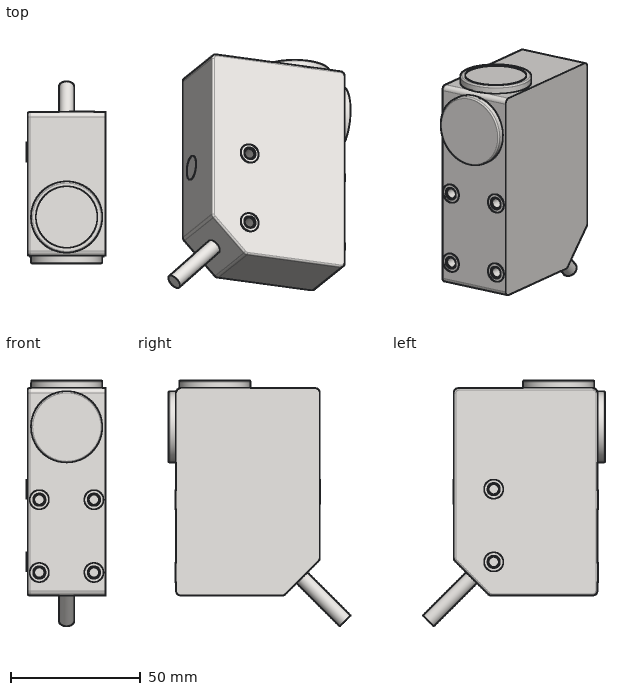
import cadquery as cq
import math

OVERALL_HEIGHT = 94.7

WIDTH = 30.0
DEPTH = 55.4
HEIGHT = 79.9
CABLE_CHAMFER = 13.8
CORNER_RADIUS = 1.9
LEFT_EDGE_RADIUS = 0.8
MIDDLE_X = WIDTH / 2

CAP_DIAMETER = 27.5
CAP_HEIGHT = 2.9
CAP_INSET = 15.0
CAP_EDGE_RADIUS = 0.6
WINDOW_DIAMETER = 23.7
WINDOW_DEPTH = 0.3

CABLE_DIAMETER = 6.0
CABLE_DROP = OVERALL_HEIGHT - HEIGHT - CAP_HEIGHT
CABLE_LENGTH = math.sqrt(2) * (CABLE_DROP + CABLE_CHAMFER / 2) - CABLE_DIAMETER / 2

PAD_DIAMETER = 9.4
PAD_HEIGHT = 0.2
PAD_X = 20.9
PAD_Z = HEIGHT / 2

INSERT_DIAMETER = 7.4
INSERT_BORE = 3.9
INSERT_CHAMFER = 0.5
INSERT_DEPTH = 7.0
INSERT_SPACING_Z = 28.0
FRONT_INSERT_PROUD = 0.3
FRONT_INSERT_SPACING_X = 21.0
FRONT_INSERT_LOW_Z = 8.9
LEFT_INSERT_PROUD = 0.5
LEFT_INSERT_Y = 40.0
LEFT_INSERT_LOW_Z = 13.0

TO_BACK = cq.Vector(0, 1, 0)
TO_RIGHT = cq.Vector(1, 0, 0)

insert_places = []
for level in (0, INSERT_SPACING_Z):
    for side in (-1, 1):
        x = MIDDLE_X + side * FRONT_INSERT_SPACING_X / 2
        face_point = cq.Vector(x, 0, FRONT_INSERT_LOW_Z + level)
        insert_places.append((face_point, TO_BACK, FRONT_INSERT_PROUD))
    face_point = cq.Vector(0, LEFT_INSERT_Y, LEFT_INSERT_LOW_Z + level)
    insert_places.append((face_point, TO_RIGHT, LEFT_INSERT_PROUD))


def cylinder(diameter, length, start, direction):
    """Solid cylinder that runs from the centre of its first end along a direction."""
    return cq.Workplane(cq.Solid.makeCylinder(diameter / 2, length, start, direction))


def make_block():
    """Block with the cable chamfer, rounded corners and a rounded left rim."""
    outline = [
        (0, 0),
        (DEPTH - CABLE_CHAMFER, 0),
        (DEPTH, CABLE_CHAMFER),
        (DEPTH, HEIGHT),
        (0, HEIGHT),
    ]
    block = cq.Workplane("YZ").polyline(outline).close().extrude(WIDTH)
    block = block.edges("|X").fillet(CORNER_RADIUS)
    return block.faces("<X").edges().fillet(LEFT_EDGE_RADIUS)


def make_cap(face_centre, outward):
    """Round cap standing on a housing face, with a rounded outer edge."""
    cap = cylinder(CAP_DIAMETER, CAP_HEIGHT, face_centre, outward)
    return cap.faces(cq.selectors.DirectionMinMaxSelector(outward)).edges().fillet(CAP_EDGE_RADIUS)


def make_top_window():
    """Shallow round recess in the top cap."""
    floor_centre = cq.Vector(MIDDLE_X, CAP_INSET, HEIGHT + CAP_HEIGHT - WINDOW_DEPTH)
    return cylinder(WINDOW_DIAMETER, WINDOW_DEPTH, floor_centre, cq.Vector(0, 0, 1))


def make_cable():
    """Straight cable stub, square to the chamfer."""
    outward = cq.Vector(0, 1, -1).normalized()
    chamfer_centre = cq.Vector(MIDDLE_X, DEPTH - CABLE_CHAMFER / 2, CABLE_CHAMFER / 2)
    return cylinder(CABLE_DIAMETER, CABLE_LENGTH, chamfer_centre, outward)


def make_housing():
    """Block with its caps, cable and pad, and a blind pocket for every insert."""
    front_cap = make_cap(cq.Vector(MIDDLE_X, 0, HEIGHT - CAP_INSET), cq.Vector(0, -1, 0))
    top_cap = make_cap(cq.Vector(MIDDLE_X, CAP_INSET, HEIGHT), cq.Vector(0, 0, 1))
    pad = cylinder(PAD_DIAMETER, PAD_HEIGHT, cq.Vector(PAD_X, DEPTH, PAD_Z), TO_BACK)
    housing = make_block().union(front_cap).union(top_cap).union(pad).union(make_cable())
    housing = housing.cut(make_top_window())
    for face_point, inward, _ in insert_places:
        housing = housing.cut(cylinder(INSERT_DIAMETER, INSERT_DEPTH, face_point, inward))
    return housing


def make_insert(face_point, inward, proud):
    """Sleeve that stands slightly proud of the housing, with a chamfered bore."""
    outer_end = face_point - inward * proud
    length = INSERT_DEPTH + proud
    sleeve = cylinder(INSERT_DIAMETER, length, outer_end, inward)
    sleeve = sleeve.cut(cylinder(INSERT_BORE, length, outer_end, inward))
    mouth = cq.Solid.makeCone(
        INSERT_BORE / 2 + INSERT_CHAMFER, INSERT_BORE / 2, INSERT_CHAMFER, outer_end, inward
    )
    return sleeve.cut(cq.Workplane(mouth))


housing = make_housing()
inserts = [make_insert(*place) for place in insert_places]

result = cq.Compound.makeCompound([housing.val(), *[insert.val() for insert in inserts]])